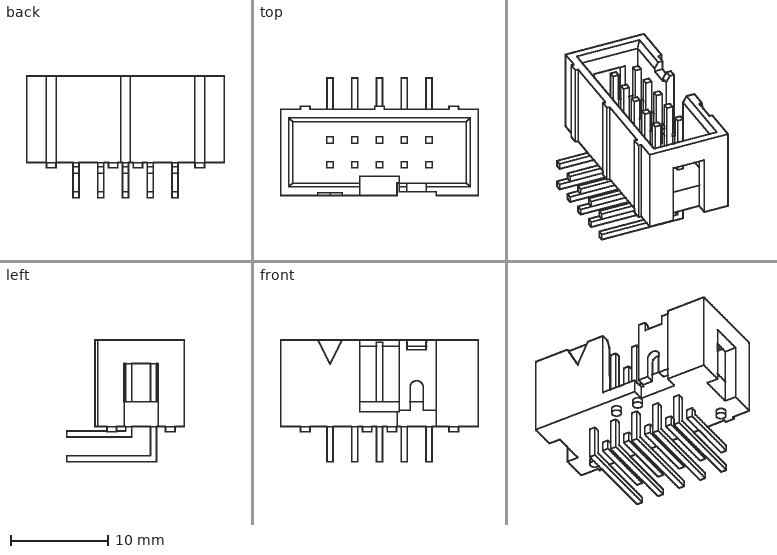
import cadquery as cq


LENGTH = 20.3
DEPTH = 8.9
OVERALL_DEPTH = 12.1
HEIGHT = 8.9
POCKET_LENGTH = 17.8
POCKET_DEPTH = 6.3
FLOOR_Z = 2.55
LEAD_IN_X = 0.43
LEAD_IN_Y = 0.4
LEAD_IN_HEIGHT = 0.67

FRONT_Y = -DEPTH / 2
BACK_Y = DEPTH / 2
END_WALL = (LENGTH - POCKET_LENGTH) / 2
FRONT_WALL = (DEPTH - POCKET_DEPTH) / 2

PITCH = 2.54
COLUMNS = 5
PIN = 0.64
PIN_TOP_Z = 8.65
PIN_BOTTOM_Z = -3.62
TAIL_END_Y = FRONT_Y + OVERALL_DEPTH
ROW_Y = PITCH / 2

END_WINDOW_WIDTH = 3.5
END_WINDOW_TOP_Z = 6.45

NOTCH_WIDTH = 4.05
NOTCH_DEPTH = 2.0
NOTCH_BOTTOM_Z = 1.5

LATCH_X = 1.5 * PITCH
RECESS_WIDTH = 4.0
RECESS_DEPTH = 0.4
LATCH_BOTTOM_Z = 1.68
LATCH_SLOT_WIDTH = 1.35
LATCH_SLOT_TOP_Z = 4.7
LATCH_GAP_WIDTH = 2.0
LATCH_GAP_HEIGHT = 1.0

MARK_X = -2 * PITCH
MARK_SIZE = 2.5
MARK_DEPTH = 0.3

RIB_WIDTH = 1.0
RIB_DEPTH = 0.3
OUTER_X = 3 * PITCH
INNER_X = PITCH / 2
PEG_DIAMETER = 1.0
PEG_HEIGHT = 0.55
PEG_Y = 3.0


def block(x_range, y_range, z_range):
    """Box between the given limits along each axis."""
    size = [high - low for low, high in (x_range, y_range, z_range)]
    corner = (x_range[0], y_range[0], z_range[0])
    return cq.Workplane("XY").box(*size, centered=False).translate(corner)


def span(centre, width):
    """Limits of a width centred on a value."""
    return (centre - width / 2, centre + width / 2)


def pocket():
    """Straight pocket with a lead-in that widens toward the open top."""
    lead_in_z = HEIGHT - LEAD_IN_HEIGHT
    straight = block(span(0, POCKET_LENGTH), span(0, POCKET_DEPTH), (FLOOR_Z, HEIGHT))
    lead_in = (
        cq.Workplane("XY", origin=(0, 0, lead_in_z))
        .rect(POCKET_LENGTH, POCKET_DEPTH)
        .workplane(offset=LEAD_IN_HEIGHT)
        .rect(POCKET_LENGTH + 2 * LEAD_IN_X, POCKET_DEPTH + 2 * LEAD_IN_Y)
        .loft(ruled=True)
    )
    return straight.union(lead_in)


def end_window(side):
    """Opening through one end wall, running down to the underside."""
    wall_centre = side * (LENGTH - END_WALL) / 2
    return block(span(wall_centre, END_WALL), span(0, END_WINDOW_WIDTH), (0, END_WINDOW_TOP_Z))


def notch():
    """Polarising notch, cut through the front wall and into the floor."""
    return block(span(0, NOTCH_WIDTH), (FRONT_Y, FRONT_Y + NOTCH_DEPTH), (NOTCH_BOTTOM_Z, HEIGHT))


def latch_cuts():
    """Everything removed from the front wall to leave the latch tongue."""
    recess_x = span(LATCH_X, RECESS_WIDTH)
    through_wall = (FRONT_Y, FRONT_Y + FRONT_WALL)
    slot_radius = LATCH_SLOT_WIDTH / 2
    slot_centre_z = LATCH_SLOT_TOP_Z - slot_radius

    face_recess = block(recess_x, (FRONT_Y, FRONT_Y + RECESS_DEPTH), (LATCH_BOTTOM_Z, HEIGHT))
    under_latch = block(recess_x, through_wall, (0, LATCH_BOTTOM_Z))
    top_gap = block(span(LATCH_X, LATCH_GAP_WIDTH), through_wall, (HEIGHT - LATCH_GAP_HEIGHT, HEIGHT))
    slot = block(span(LATCH_X, LATCH_SLOT_WIDTH), through_wall, (LATCH_BOTTOM_Z, slot_centre_z))
    slot_end = (
        cq.Workplane("XZ", origin=(LATCH_X, FRONT_Y, slot_centre_z))
        .circle(slot_radius)
        .extrude(-FRONT_WALL)
    )
    return face_recess.union(under_latch).union(top_gap).union(slot).union(slot_end)


def pin_one_mark():
    """Shallow triangle sunk into the front face, pointing down at the first pin."""
    return (
        cq.Workplane("XZ", origin=(MARK_X, FRONT_Y, HEIGHT))
        .polyline([(-MARK_SIZE / 2, 0), (MARK_SIZE / 2, 0), (0, -MARK_SIZE)])
        .close()
        .extrude(-MARK_DEPTH)
    )


def rib(x):
    """Full-height rib on the back face."""
    return block(span(x, RIB_WIDTH), (BACK_Y, BACK_Y + RIB_DEPTH), (0, HEIGHT))


def peg(x, y):
    """Round standoff under the housing."""
    return cq.Workplane("XY").center(x, y).circle(PEG_DIAMETER / 2).extrude(-PEG_HEIGHT)


def pin(x, y, bottom_z):
    """Square pin: an upright leg and a tail bent toward the back."""
    leg_y = span(y, PIN)
    leg = block(span(x, PIN), leg_y, (bottom_z, PIN_TOP_Z))
    tail = block(span(x, PIN), (leg_y[0], TAIL_END_Y), (bottom_z, bottom_z + PIN))
    return leg.union(tail)


result = block(span(0, LENGTH), span(0, DEPTH), (0, HEIGHT))
result = result.cut(pocket()).cut(notch()).cut(latch_cuts()).cut(pin_one_mark())
for side in (-1, 1):
    result = result.cut(end_window(side))

for rib_x in (-OUTER_X, 0, OUTER_X):
    result = result.union(rib(rib_x))

for side in (-1, 1):
    result = result.union(peg(side * OUTER_X, PEG_Y))
    result = result.union(peg(side * INNER_X, -PEG_Y))

for column in range(COLUMNS):
    pin_x = (column - (COLUMNS - 1) / 2) * PITCH
    result = result.union(pin(pin_x, -ROW_Y, PIN_BOTTOM_Z))
    result = result.union(pin(pin_x, ROW_Y, PIN_BOTTOM_Z + PITCH))